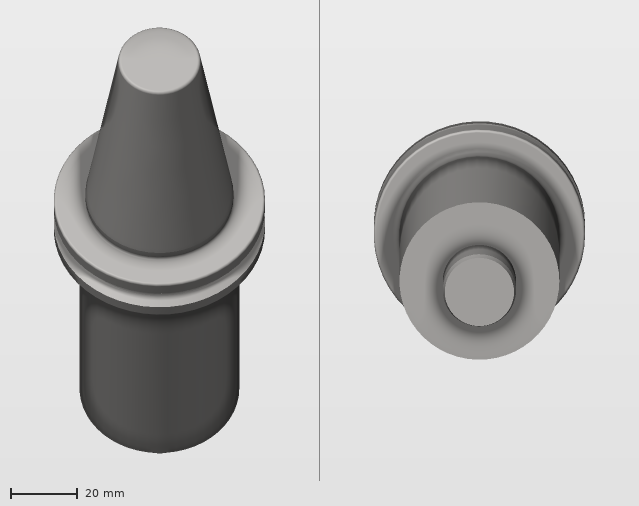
import cadquery as cq


GAUGE_DIAMETER = 44.45
TAPER_RATIO = 7 / 24
TAPER_LENGTH = 68.25
TAPER_TIP_FILLET = 1.0

COLLAR_LENGTH = 2.0
NECK_DEPTH = 0.25
NECK_FILLET = 0.8

FLANGE_DIAMETER = 63.5
FLANGE_TOP_Z = -3.175
FLANGE_BOTTOM_Z = -19.05
FLANGE_EDGE_FILLET = 0.78

GROOVE_FLOOR_DIAMETER = 56.0
GROOVE_CENTRE_Z = -11.1
GROOVE_RIM_WIDTH = 7.1
GROOVE_FLOOR_WIDTH = 3.5
GROOVE_CORNER_RADIUS = 1.0

BODY_DIAMETER = 48.0
BODY_END_Z = -100.0
BODY_FILLET = 2.0
PILOT_DIAMETER = 22.0
PILOT_END_Z = -119.0
PILOT_LEAD_LENGTH = 3.0
PILOT_LEAD_DEPTH = 0.6


def revolve(profile):
    """Turn a closed (radius, height) profile about the Z axis."""
    return profile.close().revolve(360, (0, 0, 0), (0, 1, 0))


def make_taper():
    gauge_radius = GAUGE_DIAMETER / 2
    neck_radius = gauge_radius - NECK_DEPTH
    tip_radius = gauge_radius - TAPER_LENGTH * TAPER_RATIO / 2
    profile = (
        cq.Workplane("XZ")
        .moveTo(0, FLANGE_TOP_Z)
        .lineTo(neck_radius + NECK_FILLET, FLANGE_TOP_Z)
        .radiusArc((neck_radius, FLANGE_TOP_Z + NECK_FILLET), NECK_FILLET)
        .lineTo(neck_radius, -COLLAR_LENGTH)
        .lineTo(gauge_radius, -COLLAR_LENGTH)
        .lineTo(gauge_radius, 0)
        .lineTo(tip_radius, TAPER_LENGTH)
        .lineTo(0, TAPER_LENGTH)
    )
    return revolve(profile).faces(">Z").edges().fillet(TAPER_TIP_FILLET)


def make_flange():
    flange = (
        cq.Workplane("XY", origin=(0, 0, FLANGE_BOTTOM_Z))
        .circle(FLANGE_DIAMETER / 2)
        .extrude(FLANGE_TOP_Z - FLANGE_BOTTOM_Z)
        .edges()
        .fillet(FLANGE_EDGE_FILLET)
    )
    return flange.cut(make_groove())


def make_groove():
    floor_radius = GROOVE_FLOOR_DIAMETER / 2
    rim_radius = FLANGE_DIAMETER / 2
    floor_half = GROOVE_FLOOR_WIDTH / 2
    rim_half = GROOVE_RIM_WIDTH / 2
    profile = (
        cq.Workplane("XZ")
        .moveTo(floor_radius, GROOVE_CENTRE_Z - floor_half)
        .lineTo(rim_radius, GROOVE_CENTRE_Z - rim_half)
        .lineTo(rim_radius, GROOVE_CENTRE_Z + rim_half)
        .lineTo(floor_radius, GROOVE_CENTRE_Z + floor_half)
    )
    floor_edges = cq.selectors.RadiusNthSelector(0)
    return revolve(profile).edges(floor_edges).fillet(GROOVE_CORNER_RADIUS)


def make_body():
    body_radius = BODY_DIAMETER / 2
    profile = (
        cq.Workplane("XZ")
        .moveTo(0, FLANGE_BOTTOM_Z)
        .lineTo(body_radius + BODY_FILLET, FLANGE_BOTTOM_Z)
        .radiusArc((body_radius, FLANGE_BOTTOM_Z - BODY_FILLET), -BODY_FILLET)
        .lineTo(body_radius, BODY_END_Z)
        .lineTo(0, BODY_END_Z)
    )
    return revolve(profile)


def make_pilot():
    pilot_radius = PILOT_DIAMETER / 2
    profile = (
        cq.Workplane("XZ")
        .moveTo(0, BODY_END_Z)
        .lineTo(pilot_radius, BODY_END_Z)
        .lineTo(pilot_radius, PILOT_END_Z + PILOT_LEAD_LENGTH)
        .lineTo(pilot_radius - PILOT_LEAD_DEPTH, PILOT_END_Z)
        .lineTo(0, PILOT_END_Z)
    )
    return revolve(profile)


result = make_taper().union(make_flange()).union(make_body()).union(make_pilot())